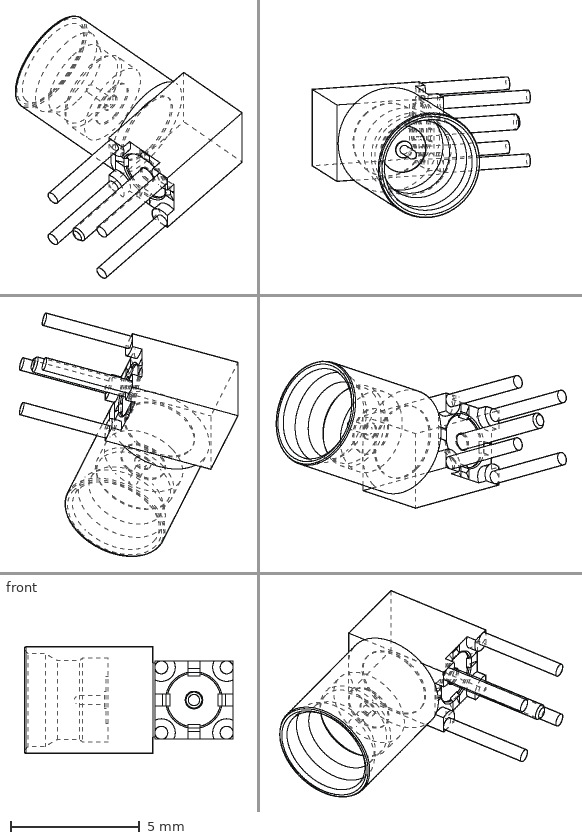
import cadquery as cq
import math


overall_length = 8.12

block_width = 3.045
half_width = block_width / 2
block_back = 2.11
base_y = -1.88

terminal_tip_y = -5.83
signal_pin_radius = 0.31
signal_pin_chamfer = 0.09
signal_clearance_radius = 0.34
signal_clearance_depth = 0.065
ground_pin_radius = 0.25
pedestal_radius = 0.54
pedestal_height = 0.39
ground_pin_offset = half_width - ground_pin_radius

recess_radius = 1.105
recess_chamfer = 0.06
recess_floor_radius = recess_radius - recess_chamfer
recess_depth = 0.12
recess_floor_y = base_y + recess_depth
stake_width = 0.48
stake_foot = 0.94
stake_crest = 1.08
stake_valley = 1.22
stake_depth = 0.15

barrel_radius = 2.08
barrel_length = 5.0
barrel_front = half_width - overall_length
barrel_end = barrel_front + barrel_length
rim_chamfer_length = 0.065
rim_chamfer_height = 0.03
neck_radius = 1.445

bore_rim_radius = 1.95
bore_entry_radius = 1.8
bore_radius = 1.535
relief_radius = 1.63
entry_depth = bore_rim_radius - bore_entry_radius
taper_start = 0.83
taper_end = 1.29
relief_start = 2.135
relief_end = 2.265
bore_depth = 3.25

insulator_radius = 0.92
insulator_height = 0.065
shoulder_radius = 0.33
shoulder_height = 0.065
contact_radius = 0.17
contact_tip_depth = 1.95


def y_cylinder(radius, y_start, y_end, x=0, z=0):
    """Cylinder along Y, running from y_start down to y_end."""
    plane = cq.Workplane("XZ", origin=(x, y_start, z))
    return plane.circle(radius).extrude(y_start - y_end)


def revolve_about_x(profile):
    """Revolve a closed XY profile about the barrel axis."""
    return profile.close().revolve(360, (0, 0, 0), (1, 0, 0))


def make_block():
    block = cq.Workplane("XY").box(block_width, block_back - base_y, block_width)
    return block.translate((0, (block_back + base_y) / 2, 0))


def make_recess():
    """Shallow round recess with a chamfered mouth and a clearance ring round the signal pin."""
    recess = y_cylinder(recess_floor_radius, recess_floor_y, base_y)
    mouth_circle = cq.Workplane("XZ", origin=(0, base_y, 0)).circle(recess_radius)
    mouth = mouth_circle.workplane(offset=-recess_chamfer).circle(recess_floor_radius).loft(ruled=True)
    clearance = y_cylinder(signal_clearance_radius, recess_floor_y + signal_clearance_depth, recess_floor_y)
    return recess.union(mouth).union(clearance)


def make_stake_prism(points):
    """Extrude a (Y, Z) outline across the stake width."""
    outline = cq.Workplane("YZ", origin=(-stake_width / 2, 0, 0)).polyline(points)
    return outline.close().extrude(stake_width)


def make_stake_groove():
    return make_stake_prism([
        (base_y, half_width),
        (base_y + stake_depth, stake_valley),
        (base_y, stake_crest),
    ])


def make_stake_lip():
    """Wedge pushed over the rim of the insulator."""
    return make_stake_prism([
        (base_y, stake_crest),
        (recess_floor_y, stake_foot),
        (recess_floor_y, recess_radius),
        (base_y, recess_radius),
    ])


def add_stakes(body):
    for quarter in range(4):
        angle = 90 * quarter
        body = body.union(make_stake_lip().rotate((0, 0, 0), (0, 1, 0), angle))
        body = body.cut(make_stake_groove().rotate((0, 0, 0), (0, 1, 0), angle))
    return body


def make_ground_terminal(x, z):
    """Round pin on a round pedestal, trimmed to the sides of the block."""
    pedestal_y = base_y - pedestal_height
    pedestal = y_cylinder(pedestal_radius, base_y, pedestal_y, x, z)
    trim = cq.Workplane("XZ", origin=(0, base_y, 0)).rect(block_width, block_width).extrude(pedestal_height)
    pin = y_cylinder(ground_pin_radius, pedestal_y, terminal_tip_y, x, z)
    return pedestal.intersect(trim).union(pin)


def make_signal_pin():
    pin = y_cylinder(signal_pin_radius, recess_floor_y + signal_clearance_depth, terminal_tip_y)
    return pin.faces("<Y").edges().chamfer(signal_pin_chamfer)


def make_barrel():
    return revolve_about_x(
        cq.Workplane("XY")
        .moveTo(barrel_front, 0)
        .lineTo(barrel_front, barrel_radius - rim_chamfer_height)
        .lineTo(barrel_front + rim_chamfer_length, barrel_radius)
        .lineTo(barrel_end, barrel_radius)
        .lineTo(barrel_end, neck_radius)
        .lineTo(-half_width, neck_radius)
        .lineTo(-half_width, 0)
    )


def make_bore():
    """Stepped bore, leaving the insulator and the domed contact standing."""
    floor_x = barrel_front + bore_depth
    insulator_x = floor_x - insulator_height
    shoulder_x = insulator_x - shoulder_height
    tip_x = barrel_front + contact_tip_depth
    dome_x = tip_x + contact_radius
    dome_mid = contact_radius * math.sqrt(0.5)
    return revolve_about_x(
        cq.Workplane("XY")
        .moveTo(barrel_front, 0)
        .lineTo(barrel_front, bore_rim_radius)
        .lineTo(barrel_front + entry_depth, bore_entry_radius)
        .lineTo(barrel_front + taper_start, bore_entry_radius)
        .lineTo(barrel_front + taper_end, bore_radius)
        .lineTo(barrel_front + relief_start, bore_radius)
        .lineTo(barrel_front + relief_end, relief_radius)
        .lineTo(floor_x, relief_radius)
        .lineTo(floor_x, insulator_radius)
        .lineTo(insulator_x, insulator_radius)
        .lineTo(insulator_x, shoulder_radius)
        .lineTo(shoulder_x, shoulder_radius)
        .lineTo(shoulder_x, contact_radius)
        .lineTo(dome_x, contact_radius)
        .threePointArc((dome_x - dome_mid, dome_mid), (tip_x, 0))
    )


housing = add_stakes(make_block().cut(make_recess()))
for side_x in (-1, 1):
    for side_z in (-1, 1):
        terminal = make_ground_terminal(side_x * ground_pin_offset, side_z * ground_pin_offset)
        housing = housing.union(terminal)

result = housing.union(make_signal_pin()).union(make_barrel().cut(make_bore()))